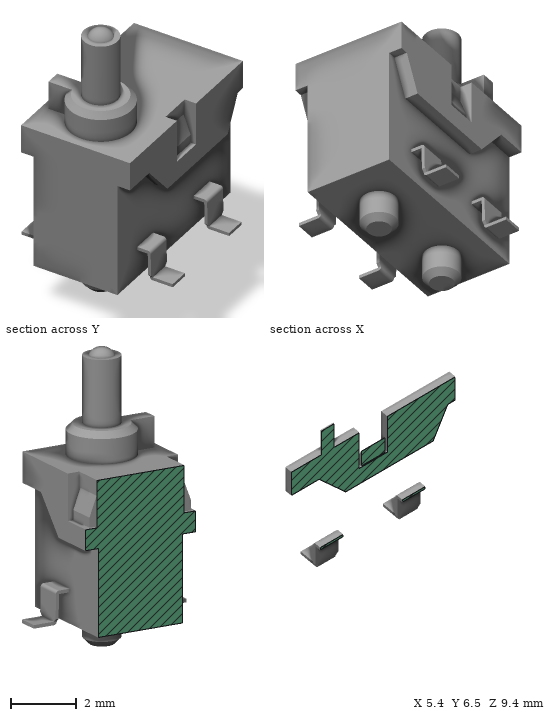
import cadquery as cq

length = 6.5
base_width = 2.99
cover_width = 3.89
height = 5.0

rim_height = 1.0
skirt_height = 2.18
front_slope_start = 1.1
front_slope_end = 2.15
back_slope_start = 0.29
back_slope_end = 0.87

window_width = 1.1
window_depth = 0.4
window_height = 1.5
catch_width = 0.96
catch_projection = 0.25
catch_top_drop = 0.5
catch_ramp_drop = 1.16
catch_clearance = 0.03

peg_diameter = 1.19
peg_length = 1.0
peg_chamfer = 0.21
back_peg_y = length / 2 - 1.65

overall_height = 9.4
plunger_y = -length / 2 + 1.45
collar_diameter = 2.2
collar_height = 1.0
collar_chamfer = 0.2
tab_width = 0.51
tab_reach = 1.71
plunger_diameter = peg_diameter
plunger_length = 2.15
dome_diameter = 0.81
dome_height = overall_height - peg_length - height - collar_height - plunger_length

overall_width = 5.4
strip_thickness = 0.11
terminal_top = 1.11
terminal_width = 0.91
foot_width = 0.705
foot_shoulder = (terminal_width - foot_width) / 2
leg_top_x = 1.97
leg_bottom_x = 1.99
leg_thickness = 0.1
bend_radius = 0.1
terminal_embed = 0.09
terminal_positions = (-1.65, 1.6)


def make_housing():
    base = cq.Workplane("XY").box(base_width, length, height, centered=(True, True, False))
    front = -length / 2
    back = length / 2
    rim_z = height - rim_height
    skirt_z = height - skirt_height
    cover = (
        cq.Workplane("YZ")
        .moveTo(front, height)
        .lineTo(front, rim_z)
        .lineTo(front + front_slope_start, rim_z)
        .lineTo(front + front_slope_end, skirt_z)
        .lineTo(back - back_slope_end, skirt_z)
        .lineTo(back - back_slope_start, rim_z)
        .lineTo(back, rim_z)
        .lineTo(back, height)
        .close()
        .extrude(cover_width / 2, both=True)
    )
    return base.union(cover)


def make_window():
    """Pocket in the -X side, open at the top, leaving the ramped catch on its inner wall."""
    outer_x = -cover_width / 2
    inner_x = outer_x + window_depth
    floor_z = height - window_height
    pocket = cq.Workplane("XY").box(
        window_depth, window_width, window_height, centered=(False, True, False)
    ).translate((outer_x, 0, floor_z))
    catch = (
        cq.Workplane("XZ")
        .moveTo(inner_x, height - catch_top_drop)
        .lineTo(inner_x - catch_projection, height - catch_ramp_drop)
        .lineTo(inner_x - catch_projection, floor_z + catch_clearance)
        .lineTo(inner_x, floor_z + catch_clearance)
        .close()
        .extrude(catch_width / 2, both=True)
    )
    return pocket.cut(catch)


def make_plunger():
    collar = (
        cq.Workplane("XY")
        .circle(collar_diameter / 2)
        .extrude(collar_height)
        .faces(">Z")
        .chamfer(collar_chamfer)
    )
    tab = cq.Workplane("XY").box(
        tab_reach, tab_width, collar_height, centered=(False, True, False)
    ).translate((-tab_reach, 0, 0))
    stem_top = collar_height + plunger_length
    tip = stem_top + dome_height
    dome_radius = (dome_diameter ** 2 / 4 + dome_height ** 2) / (2 * dome_height)
    mid_x = dome_diameter / 4
    mid_z = tip - dome_radius + (dome_radius ** 2 - mid_x ** 2) ** 0.5
    stem = (
        cq.Workplane("XZ")
        .lineTo(plunger_diameter / 2, 0)
        .lineTo(plunger_diameter / 2, stem_top)
        .lineTo(dome_diameter / 2, stem_top)
        .threePointArc((mid_x, mid_z), (0, tip))
        .close()
        .revolve(360, (0, 0, 0), (0, 1, 0))
    )
    return collar.union(tab).union(stem).translate((0, plunger_y, height))


def make_peg(y):
    return (
        cq.Workplane("XY")
        .center(0, y)
        .circle(peg_diameter / 2)
        .extrude(-peg_length)
        .faces("<Z")
        .chamfer(peg_chamfer)
    )


def make_terminal(y):
    """Bent strip on the -X side, narrowed to the foot width at its lower bend."""
    root_x = -base_width / 2 + terminal_embed
    strip = (
        cq.Workplane("XZ")
        .moveTo(root_x, terminal_top)
        .lineTo(-leg_top_x, terminal_top)
        .lineTo(-leg_bottom_x, strip_thickness)
        .lineTo(-overall_width / 2, strip_thickness)
        .lineTo(-overall_width / 2, 0)
        .lineTo(leg_thickness - leg_bottom_x, 0)
        .lineTo(leg_thickness - leg_top_x, terminal_top - strip_thickness)
        .lineTo(root_x, terminal_top - strip_thickness)
        .close()
        .extrude(terminal_width / 2, both=True)
    )
    bend_size = leg_thickness / 2
    upper_bend = cq.selectors.BoxSelector(
        (-leg_top_x - bend_size, -terminal_width, terminal_top - bend_size),
        (-leg_top_x + bend_size, terminal_width, terminal_top + bend_size),
    )
    lower_bend_x = leg_thickness - leg_bottom_x
    lower_bend = cq.selectors.BoxSelector(
        (lower_bend_x - bend_size, -terminal_width, -bend_size),
        (lower_bend_x + bend_size, terminal_width, bend_size),
    )
    strip = strip.edges(upper_bend + lower_bend).edges("|Y").fillet(bend_radius)
    outline = (
        cq.Workplane("YZ")
        .moveTo(-foot_width / 2, 0)
        .lineTo(-foot_width / 2, strip_thickness)
        .lineTo(-terminal_width / 2, strip_thickness + foot_shoulder)
        .lineTo(-terminal_width / 2, terminal_top)
        .lineTo(terminal_width / 2, terminal_top)
        .lineTo(terminal_width / 2, strip_thickness + foot_shoulder)
        .lineTo(foot_width / 2, strip_thickness)
        .lineTo(foot_width / 2, 0)
        .close()
        .extrude(-overall_width)
    )
    return strip.intersect(outline).translate((0, y, 0))


window = make_window()
result = make_housing().cut(window).cut(window.mirror("YZ")).union(make_plunger())

for peg_y in (plunger_y, back_peg_y):
    result = result.union(make_peg(peg_y))

for terminal_y in terminal_positions:
    terminal = make_terminal(terminal_y)
    result = result.union(terminal).union(terminal.mirror("YZ"))